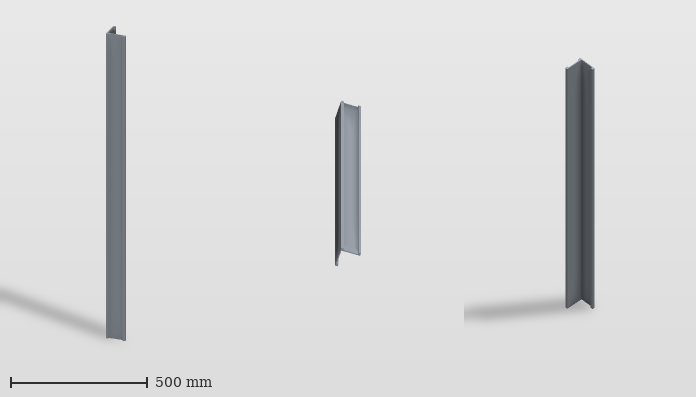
import cadquery as cq

leg_length = 75.0
bar_length = 1219.0
bead = 10.0
wall = 4.0
taper_rise = 1.0
taper_end = 39.0
root_radius = 1.8

leg_underside = bead - wall
tip_bead_start = leg_length - bead

profile = [
    (0, 0),
    (bead, 0),
    (bead, leg_underside - taper_rise),
    (taper_end, leg_underside),
    (tip_bead_start, leg_underside),
    (tip_bead_start, 0),
    (leg_length, 0),
    (leg_length, bead),
    (wall, bead),
    (wall, tip_bead_start),
    (bead, tip_bead_start),
    (bead, leg_length),
    (0, leg_length),
]

bar = cq.Workplane("XY").polyline(profile).close().extrude(bar_length)

taper_root = (bead, leg_underside - taper_rise, bar_length / 2)
result = bar.edges(cq.selectors.NearestToPointSelector(taper_root)).fillet(root_radius)